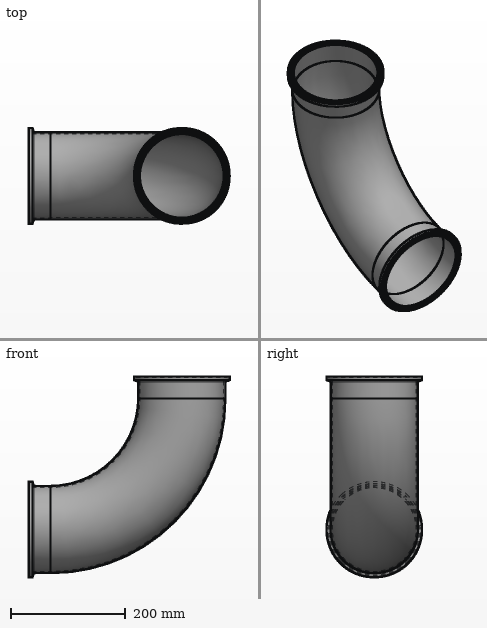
import cadquery as cq
import math

overall_size = 350.0
flange_diameter = 167.0
tube_diameter = 152.3
wall_thickness = 3.0
ferrule_length = 38.0

rim_thickness = 6.3
back_taper_angle = 20.0
root_fillet_radius = 1.8
bore_edge_chamfer = 0.7
groove_mean_radius = 78.0
groove_floor_width = 2.0
groove_mouth_width = 4.5
groove_depth = 1.8

edge_tolerance = 0.05

flange_radius = flange_diameter / 2
tube_radius = tube_diameter / 2
bore_radius = tube_radius - wall_thickness
center_to_end = overall_size - flange_radius
bend_radius = center_to_end - ferrule_length
taper_length = (flange_radius - tube_radius) * math.tan(math.radians(back_taper_angle))

half_size = overall_size / 2
corner_x = half_size - flange_radius
corner_z = -half_size + flange_radius


def make_elbow():
    """Quarter torus tube joining the inner ends of the two ferrules."""
    start_x = corner_x - bend_radius
    return (
        cq.Workplane("YZ", origin=(start_x, 0, corner_z))
        .circle(tube_radius)
        .circle(bore_radius)
        .revolve(90, (3.5, bend_radius, 0), (-3.5, bend_radius, 0))
    )


def make_ferrule():
    """Flanged tube around Z, with its mating face at Z = 0 and its tube below."""
    body = (
        cq.Workplane("XZ")
        .moveTo(bore_radius, -bore_edge_chamfer)
        .lineTo(bore_radius + bore_edge_chamfer, 0)
        .lineTo(flange_radius, 0)
        .lineTo(flange_radius, -rim_thickness)
        .lineTo(tube_radius, -rim_thickness - taper_length)
        .lineTo(tube_radius, -ferrule_length)
        .lineTo(bore_radius, -ferrule_length)
        .close()
        .revolve(360, (0, 0, 0), (0, 1, 0))
    )
    root_height = -rim_thickness - taper_length
    root_edge = cq.selectors.BoxSelector(
        (-flange_radius, -flange_radius, root_height - edge_tolerance),
        (flange_radius, flange_radius, root_height + edge_tolerance),
        boundingbox=True,
    )
    body = body.edges("%CIRCLE").edges(root_edge).fillet(root_fillet_radius)
    return body.cut(make_gasket_groove())


def make_gasket_groove():
    """Ring with sloped sides, removed from the mating face."""
    half_mouth = groove_mouth_width / 2
    half_floor = groove_floor_width / 2
    return (
        cq.Workplane("XZ")
        .moveTo(groove_mean_radius - half_mouth, 0)
        .lineTo(groove_mean_radius - half_floor, -groove_depth)
        .lineTo(groove_mean_radius + half_floor, -groove_depth)
        .lineTo(groove_mean_radius + half_mouth, 0)
        .close()
        .revolve(360, (0, 0, 0), (0, 1, 0))
    )


elbow = make_elbow()

ferrule_placements = [
    (-90, (-half_size, 0, corner_z)),
    (0, (corner_x, 0, half_size)),
]
ferrules = []
for turn_about_y, face_center in ferrule_placements:
    ferrule = make_ferrule().rotate((0, 0, 0), (0, 1, 0), turn_about_y).translate(face_center)
    ferrules.append(ferrule.val())

result = cq.Compound.makeCompound([elbow.val(), *ferrules])